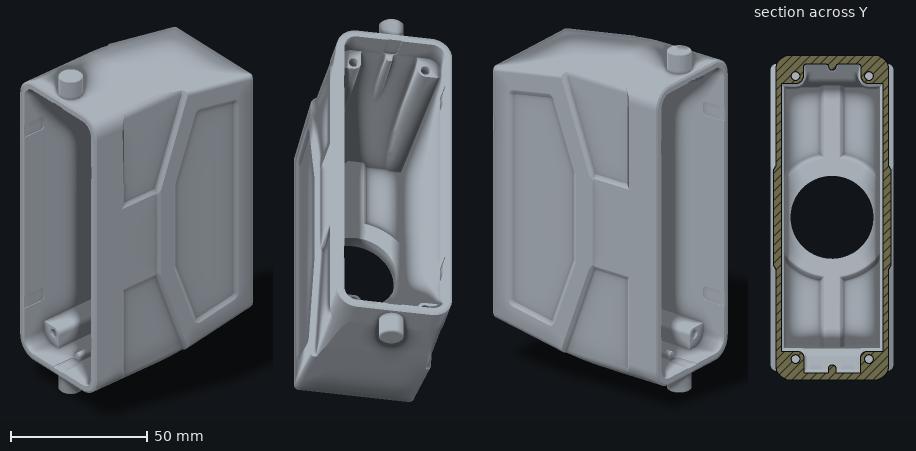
import cadquery as cq
import math


depth = 76.0
panel_half_width = 22.51
mouth_half_width = 21.6
mouth_half_height = 60.1
mouth_corner_radius = 7.6
rim_chamfer_run = 0.8
rim_chamfer_inset = 0.4

straight_end_y = 11.2
taper_change_y = 32.0
taper_change_half_height = 58.2
back_half_height = 50.5
back_edge_radius = 1.9
taper_blend_reach = 0.5

recess_floor_x = 20.7
recess_mouth_y = 12.8
recess_inner_z = 17.5
recess_wall_run = 1.6
recess_edge_radius = 3.4
panel_waist_half_height = 18.9
panel_waist_y = 30.7
panel_waist_run = 3.4
panel_diagonal_angle = 70.2
panel_diagonal_run = 1.5

pocket_back_y = 68.0
pocket_back_half_height = 43.1
pocket_shoulder_y = 47.5
pocket_shoulder_half_height = 46.8
pocket_waist_y = 36.9
pocket_waist_half_height = 18.0
pocket_depth = 1.0
pocket_wall_run = 1.8
pocket_corner_radius = 2.7

wall = 2.9
floor_y = 73.0
cavity_draft = 1.3
top_wall_back_z = 48.0
cavity_overshoot = 1.4

post_face_y = 9.5
post_inner_x = 10.6
post_inner_z = 49.2
post_reach = 13.6
post_radius = 3.0
post_draft = 1.5
post_foot_radius = 0.8
bay_floor_y = 28.5
bay_draft = 2.5
bay_floor_radius = 0.8
bay_rim_radius = 2.5
screw_x = 13.5
screw_z = 52.0
screw_radius = 1.8
screw_depth = 13.6
screw_draft = 2.0
rib_radius = 1.2
rib_height = 3.0
rib_draft = 2.0

groove_width = 5.5
groove_depth = 0.3
groove_radius = 1.4
groove_z = 37.1

entry_radius = 15.2
pad_radius = 22.2
stem_half_width = 3.0
pad_height = 2.7
pad_draft = 30.0
floor_radius = 0.7

pin_radius = 4.5
pin_y = 6.3
pin_end_z = 68.0
pin_chamfer = 0.4


def facing_back(y):
    """Workplane at depth y whose normal is +Y; local y is Z."""
    return cq.Workplane(cq.Plane(origin=(0, y, 0), xDir=(-1, 0, 0), normal=(0, 1, 0)))


def side_plane(x):
    """Workplane at offset x whose normal is +X; local axes are Y and Z."""
    return cq.Workplane("YZ", origin=(x, 0, 0))


def both_sides(solid):
    return solid.union(solid.mirror("YZ"))


def make_envelope():
    """Tapered outline of the hood across its full width, rounded along its rear edges."""
    slope_front = (mouth_half_height - taper_change_half_height) / (taper_change_y - straight_end_y)
    slope_back = (taper_change_half_height - back_half_height) / (depth - taper_change_y)
    blend_front = (
        taper_change_y - taper_blend_reach,
        taper_change_half_height + taper_blend_reach * slope_front,
    )
    blend_back = (
        taper_change_y + taper_blend_reach,
        taper_change_half_height - taper_blend_reach * slope_back,
    )
    blend_sag = taper_blend_reach * (slope_back - slope_front) / 4
    blend_middle = (taper_change_y, taper_change_half_height - blend_sag)
    upper_half = (
        side_plane(0)
        .lineTo(0, mouth_half_height)
        .lineTo(straight_end_y, mouth_half_height)
        .lineTo(*blend_front)
        .threePointArc(blend_middle, blend_back)
        .lineTo(depth, back_half_height)
        .lineTo(depth, 0)
        .close()
        .extrude(panel_half_width, both=True)
    )
    block = upper_half.union(upper_half.mirror("XY"), clean=True)
    rear = cq.selectors.BoxSelector(
        (-depth, taper_change_y + 1.4, -depth), (depth, depth + 1.4, depth)
    )
    return block.edges(rear).fillet(back_edge_radius)


def make_sleeve():
    """Round-cornered sleeve with four drafted recesses in its sides."""
    sleeve = (
        facing_back(0)
        .rect(2 * mouth_half_width, 2 * mouth_half_height)
        .extrude(depth)
        .edges("|Y").fillet(mouth_corner_radius)
        .faces("<Y").edges().chamfer(rim_chamfer_inset, rim_chamfer_run)
    )

    recess_depth = mouth_half_width - recess_floor_x
    draft = math.degrees(math.atan2(recess_wall_run, recess_depth))
    recess_length = depth
    recess_height = mouth_half_height
    recess = (
        side_plane(mouth_half_width)
        .center(recess_mouth_y + recess_length / 2, recess_inner_z + recess_height / 2)
        .rect(recess_length, recess_height)
        .extrude(-recess_depth, taper=draft)
    )
    recesses = both_sides(recess)
    recesses = recesses.union(recesses.mirror("XY"))
    sleeve = sleeve.cut(recesses)

    corner_z = mouth_half_height - mouth_corner_radius
    runout_x = recess_floor_x - mouth_half_width + mouth_corner_radius
    edge_z = corner_z + math.sqrt(mouth_corner_radius**2 - runout_x**2)
    for x in (-recess_floor_x, recess_floor_x):
        for z in (-edge_z, edge_z):
            runout = cq.selectors.NearestToPointSelector((x, depth / 2, z))
            sleeve = sleeve.edges("|Y").edges(runout).fillet(recess_edge_radius)
    return sleeve


def panel_outline(waist_y, diagonal_shift):
    """Panel outline, oversize at the back and ends; diagonal moved out by diagonal_shift."""
    angle = math.radians(panel_diagonal_angle)
    foot_y = panel_waist_y - diagonal_shift / math.sin(angle)
    waist_z = panel_waist_half_height + (waist_y - foot_y) * math.tan(angle)
    end_z = mouth_half_height + 1.4
    end_y = foot_y + (end_z - panel_waist_half_height) / math.tan(angle)
    back_y = depth + 1.4
    upper = [(waist_y, waist_z), (end_y, end_z), (back_y, end_z)]
    return upper + [(y, -z) for y, z in reversed(upper)]


def make_back_body():
    """Square-cornered back half with beveled side panels."""
    foot = panel_outline(panel_waist_y - panel_waist_run, panel_diagonal_run)
    crest = panel_outline(panel_waist_y, 0)
    core = side_plane(0).polyline(foot).close().extrude(recess_floor_x, both=True)
    bevel = (
        side_plane(recess_floor_x)
        .polyline(foot).close()
        .workplane(offset=panel_half_width - recess_floor_x)
        .polyline(crest).close()
        .loft(ruled=True)
    )
    return core.union(both_sides(bevel))


def make_panel_pockets():
    upper = [
        (pocket_waist_y, pocket_waist_half_height),
        (pocket_shoulder_y, pocket_shoulder_half_height),
        (pocket_back_y, pocket_back_half_height),
    ]
    lower = [(y, -z) for y, z in reversed(upper)]
    draft = math.degrees(math.atan2(pocket_wall_run, pocket_depth))
    outline = (
        cq.Sketch()
        .polygon(upper + lower + upper[:1])
        .vertices(">X or >Y or <Y").fillet(pocket_corner_radius)
    )
    pocket = side_plane(panel_half_width).placeSketch(outline).extrude(-pocket_depth, taper=draft)
    return both_sides(pocket)


def make_upper_posts():
    """Two drafted corner posts standing under the upper wall."""
    post = (
        facing_back(post_face_y)
        .center(post_inner_x + post_reach / 2, post_inner_z + post_reach / 2)
        .sketch()
        .rect(post_reach, post_reach)
        .vertices().fillet(post_radius)
        .finalize()
        .extrude(floor_y - post_face_y + cavity_overshoot, taper=-post_draft)
    )
    return both_sides(post)


def make_lower_block():
    """Full-width block on the lower wall; a bay between its corners leaves two posts."""
    block = (
        facing_back(post_face_y)
        .center(0, -post_inner_z - post_reach / 2)
        .rect(2 * panel_half_width, post_reach)
        .extrude(floor_y - post_face_y + cavity_overshoot, taper=-post_draft)
    )
    inner_z = mouth_half_height - wall
    bay_height = 2 * post_reach
    bay = (
        facing_back(post_face_y)
        .center(0, bay_height / 2 - inner_z)
        .rect(2 * post_inner_x, bay_height)
        .extrude(bay_floor_y - post_face_y, taper=bay_draft)
        .faces(">Y").edges("not >Z").fillet(bay_floor_radius)
    )
    bay_rim = cq.selectors.BoxSelector(
        (-post_inner_x - 1.4, post_face_y + 1.4, -post_inner_z - 0.1),
        (post_inner_x + 1.4, bay_floor_y + 1.4, 0),
    )
    return block.cut(bay).edges(bay_rim).fillet(bay_rim_radius)


def make_ribs():
    """Round-topped ribs along the middle of both end walls."""
    top_z = mouth_half_height - wall - rib_height
    rib = (
        facing_back(post_face_y)
        .moveTo(-rib_radius, mouth_half_height)
        .lineTo(-rib_radius, top_z + rib_radius)
        .threePointArc((0, top_z), (rib_radius, top_z + rib_radius))
        .lineTo(rib_radius, mouth_half_height)
        .close()
        .extrude(floor_y - post_face_y, taper=-rib_draft)
    )
    return rib.union(rib.mirror("XY"))


def make_floor_pad():
    """Raised ring around the cable entry joined to a stem running end to end."""
    ring = facing_back(floor_y - pad_height).circle(pad_radius).extrude(pad_height, taper=-pad_draft)
    stem = (
        facing_back(floor_y - pad_height)
        .rect(2 * stem_half_width, 2 * mouth_half_height)
        .extrude(pad_height, taper=-pad_draft)
    )
    ring = ring.faces("<Y").edges().fillet(floor_radius)
    stem = stem.faces("<Y").edges("|Z").fillet(floor_radius)
    return ring.union(stem)


def mouth_outline(y):
    """Rounded inner outline of the mouth, placed at depth y."""
    return (
        facing_back(y)
        .sketch()
        .rect(2 * (mouth_half_width - wall), 2 * (mouth_half_height - wall))
        .vertices().fillet(mouth_corner_radius - wall)
        .finalize()
    )


def make_cavity():
    """Hollow with a straight mouth and drafted walls, less the posts, block, ribs and floor pad."""
    straight = mouth_outline(0).extrude(post_face_y)
    drafted = mouth_outline(post_face_y).extrude(floor_y - post_face_y, taper=cavity_draft)

    inner_z = mouth_half_height - wall
    profile = (
        side_plane(0)
        .polyline([
            (0, inner_z),
            (post_face_y, inner_z),
            (floor_y, top_wall_back_z),
            (floor_y, -inner_z),
            (0, -inner_z),
        ])
        .close()
        .extrude(panel_half_width, both=True)
    )
    cavity = straight.union(drafted).intersect(profile)
    cavity = cavity.cut(make_upper_posts()).cut(make_lower_block())
    cavity = cavity.cut(make_ribs()).cut(make_floor_pad())

    floor_edges = cq.selectors.BoxSelector(
        (-depth, floor_y - 0.1, -depth), (depth, floor_y + 0.1, depth)
    )
    cavity = cavity.edges(floor_edges).fillet(floor_radius)
    upper_feet = cq.selectors.BoxSelector(
        (-post_inner_x - 0.5, post_face_y + 1.4, post_inner_z + post_radius + 0.7),
        (post_inner_x + 0.5, floor_y - pad_height, inner_z + 0.1),
    )
    return cavity.edges(upper_feet).fillet(post_foot_radius)


def make_mouth_grooves():
    """Shallow grooves just inside the mouth: two in each side wall, one in each end wall."""
    half_x = mouth_half_width - wall + groove_depth
    half_z = mouth_half_height - wall + groove_depth
    span = cq.Workplane("XY").box(groove_width, 2 * post_face_y, 2 * half_z)
    grooves = span.edges("|Z and >Y").fillet(groove_radius)
    for z in (-groove_z, groove_z):
        across = cq.Workplane("XY", origin=(0, 0, z)).box(2 * half_x, 2 * post_face_y, groove_width)
        grooves = grooves.union(across.edges("|X and >Y").fillet(groove_radius))
    return grooves


def make_screw_holes():
    sites = [(x, z) for x in (-screw_x, screw_x) for z in (-screw_z, screw_z)]
    return (
        facing_back(post_face_y)
        .pushPoints(sites)
        .circle(screw_radius)
        .extrude(screw_depth, taper=screw_draft)
    )


def make_pins():
    root_z = mouth_half_height - wall / 2
    pin = (
        cq.Workplane("XY", origin=(0, pin_y, root_z))
        .circle(pin_radius)
        .extrude(pin_end_z - root_z)
        .faces(">Z").chamfer(pin_chamfer)
    )
    return pin.union(pin.mirror("XY"))


entry = facing_back(floor_y - pad_height - 1.4).circle(entry_radius).extrude(depth)

result = (
    make_sleeve()
    .union(make_back_body())
    .intersect(make_envelope())
    .cut(make_panel_pockets())
    .cut(make_cavity())
    .cut(make_mouth_grooves())
    .cut(entry)
    .cut(make_screw_holes())
    .union(make_pins())
)